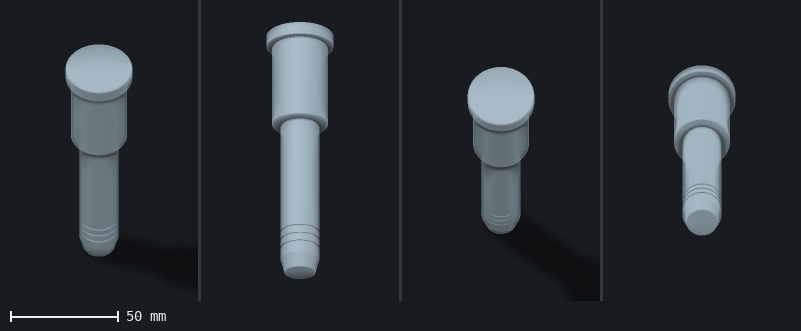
import cadquery as cq
import math

total_length = 121.0
head_diameter = 31.0
head_height = 6.0
sleeve_diameter = 26.0
sleeve_bottom = 75.0
pin_diameter = 18.0

head_chamfer = 0.5
sleeve_chamfer = 0.6

groove_height = 1.0
groove_depth = 0.5
groove_slope_height = 0.6
ring_pitch = 4.0
lowest_ring_top = 13.0
ring_count = 3

taper_height = 7.0
taper_angle = 15.0
tip_radius = 0.8

head_bottom = total_length - head_height
pin_radius = pin_diameter / 2


def cylinder(diameter, bottom, top):
    return cq.Workplane("XY").workplane(offset=bottom).circle(diameter / 2).extrude(top - bottom)


def groove_cutter(diameter, top):
    """Ring with a flat upper wall and a floor that slopes out to the full diameter."""
    radius = diameter / 2
    floor_radius = radius - groove_depth
    profile = (
        cq.Workplane("XZ")
        .moveTo(radius, top)
        .lineTo(floor_radius, top)
        .lineTo(floor_radius, top - groove_height + groove_slope_height)
        .lineTo(radius, top - groove_height)
        .close()
    )
    return profile.revolve(360, (0, 0, 0), (0, 1, 0))


def make_tip():
    """Cone meeting the pin at an edge, with a rounded lower edge."""
    angle = math.radians(taper_angle)
    cone_end_radius = pin_radius - taper_height * math.tan(angle)
    flat_radius = cone_end_radius - tip_radius * math.tan(math.pi / 4 - angle / 2)

    def tip_point(turn):
        return (
            flat_radius + tip_radius * math.cos(turn),
            tip_radius - tip_radius * math.sin(turn),
        )

    profile = (
        cq.Workplane("XZ")
        .lineTo(flat_radius, 0)
        .threePointArc(tip_point((math.pi / 2 + angle) / 2), tip_point(angle))
        .lineTo(pin_radius, taper_height)
        .lineTo(0, taper_height)
        .close()
    )
    return profile.revolve(360, (0, 0, 0), (0, 1, 0))


head = cylinder(head_diameter, head_bottom, total_length).faces(">Z").edges().chamfer(head_chamfer)
sleeve = cylinder(sleeve_diameter, sleeve_bottom, head_bottom).faces("<Z").edges().chamfer(sleeve_chamfer)
tip = make_tip()
pin = cylinder(pin_diameter, taper_height, sleeve_bottom)

result = head.union(sleeve).union(pin).union(tip)
for diameter, top in ((sleeve_diameter, head_bottom), (pin_diameter, sleeve_bottom)):
    result = result.cut(groove_cutter(diameter, top))
for index in range(ring_count):
    result = result.cut(groove_cutter(pin_diameter, lowest_ring_top + index * ring_pitch))
result = result.clean()